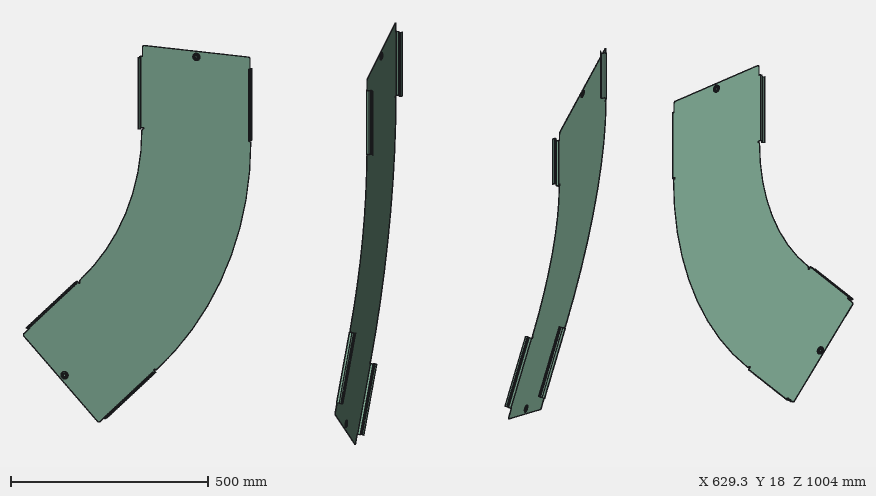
import cadquery as cq
import math


OVERALL_HEIGHT = 1004.0
BEND_ANGLE = 45.0
SHEET = 1.0

STRAIGHT_WIDTH = 296.0
STRAIGHT_LENGTH = 223.0
CORNER_RADIUS = 5.0
CURVE_WIDTH = 300.0

FLANGE_GAP = 29.0
FLANGE_LENGTH = 188.0
FLANGE_REACH = 5.3
FLANGE_DEPTH = 16.0
CREASE_INSET = 4.0
CREASE_FLAT = 3.0
CREASE_TOP = 6.0
RELIEF_WIDTH = 3.0
RELIEF_DEPTH = 3.0

SCREW_END_DISTANCE = 15.0
COLLAR_RADIUS = 9.5
COLLAR_BACK = 1.0
COLLAR_FRONT = 0.5
HEAD_RADIUS = 6.5
HEAD_HEIGHT = 2.0
SOCKET_RADIUS = 3.5

HALF_WIDTH = STRAIGHT_WIDTH / 2
BEND_SIN = math.sin(math.radians(BEND_ANGLE))
BEND_COS = math.cos(math.radians(BEND_ANGLE))

CORNER_LOSS = CORNER_RADIUS * (BEND_SIN + BEND_COS - 1)
LOWER_DROP = OVERALL_HEIGHT - STRAIGHT_LENGTH + CORNER_LOSS
BEND_RADIUS = (LOWER_DROP - STRAIGHT_LENGTH * BEND_COS) / BEND_SIN - HALF_WIDTH

FLANGE_BOTTOM = STRAIGHT_LENGTH - FLANGE_GAP - FLANGE_LENGTH


def on_bend(radius, angle):
    """X and Z of a point at a radius and a downward angle about the bend centre."""
    turn = math.radians(angle)
    return radius * math.cos(turn) - BEND_RADIUS, -radius * math.sin(turn)


def make_curve():
    """Curved sheet between the two straights."""
    inner = BEND_RADIUS - CURVE_WIDTH / 2
    outer = BEND_RADIUS + CURVE_WIDTH / 2
    return (
        cq.Workplane("XZ")
        .moveTo(*on_bend(inner, 0))
        .lineTo(*on_bend(outer, 0))
        .threePointArc(on_bend(outer, BEND_ANGLE / 2), on_bend(outer, BEND_ANGLE))
        .lineTo(*on_bend(inner, BEND_ANGLE))
        .threePointArc(on_bend(inner, BEND_ANGLE / 2), on_bend(inner, 0))
        .close()
        .extrude(-SHEET)
    )


def make_flange():
    """Creased flange on the +X edge of the upper straight, with its strip of sheet."""
    outside = HALF_WIDTH + FLANGE_REACH
    crease = outside - CREASE_INSET
    crease_middle = (CREASE_TOP + FLANGE_DEPTH) / 2
    flat_top = crease_middle - CREASE_FLAT / 2
    flat_bottom = crease_middle + CREASE_FLAT / 2
    return (
        cq.Workplane("XY", origin=(0, 0, FLANGE_BOTTOM))
        .polyline([
            (HALF_WIDTH - RELIEF_DEPTH, SHEET),
            (outside, SHEET),
            (outside, -CREASE_TOP),
            (crease, -flat_top),
            (crease, -flat_bottom),
            (outside, -FLANGE_DEPTH),
            (outside - SHEET, -FLANGE_DEPTH),
            (crease - SHEET, -flat_bottom),
            (crease - SHEET, -flat_top),
            (outside - SHEET, -CREASE_TOP),
            (outside - SHEET, 0),
            (HALF_WIDTH - RELIEF_DEPTH, 0),
        ])
        .close()
        .extrude(FLANGE_LENGTH)
    )


def make_relief():
    """Cutter for the notch between the +X flange and the bend."""
    x_inner = HALF_WIDTH - RELIEF_DEPTH
    x_outer = HALF_WIDTH + FLANGE_REACH
    return (
        cq.Workplane("XY")
        .box(x_outer - x_inner, SHEET, RELIEF_WIDTH, centered=False)
        .translate((x_inner, 0, FLANGE_BOTTOM - RELIEF_WIDTH))
    )


def make_screw():
    """Collared screw through the sheet near the free end, with a round socket in its head."""
    axis_height = STRAIGHT_LENGTH - SCREW_END_DISTANCE

    def disc(radius, y_start, y_end):
        return cq.Workplane("XZ", origin=(0, y_start, axis_height)).circle(radius).extrude(y_start - y_end)

    collar = disc(COLLAR_RADIUS, -COLLAR_FRONT, SHEET + COLLAR_BACK)
    head = disc(HEAD_RADIUS, -HEAD_HEIGHT, 0)
    socket = disc(SOCKET_RADIUS, -HEAD_HEIGHT, 0)
    return collar.union(head).cut(socket)


def make_straight():
    """Upper straight with its screw, and a flange and relief notch on both sides."""
    sheet = cq.Workplane("XY").box(
        STRAIGHT_WIDTH, SHEET, STRAIGHT_LENGTH, centered=(True, False, False)
    )
    sheet = sheet.edges("|Y and >Z").fillet(CORNER_RADIUS)
    relief = make_relief()
    flange = make_flange()
    sheet = sheet.cut(relief).cut(relief.mirror("YZ"))
    return sheet.union(flange).union(flange.mirror("YZ")).union(make_screw())


def make_lower_straight(upper):
    """Upper straight turned end for end and swung round the bend."""
    return upper.mirror("XY").rotate(
        (-BEND_RADIUS, 0, 0), (-BEND_RADIUS, 1, 0), BEND_ANGLE
    )


upper_straight = make_straight()
result = make_curve().union(upper_straight).union(make_lower_straight(upper_straight))